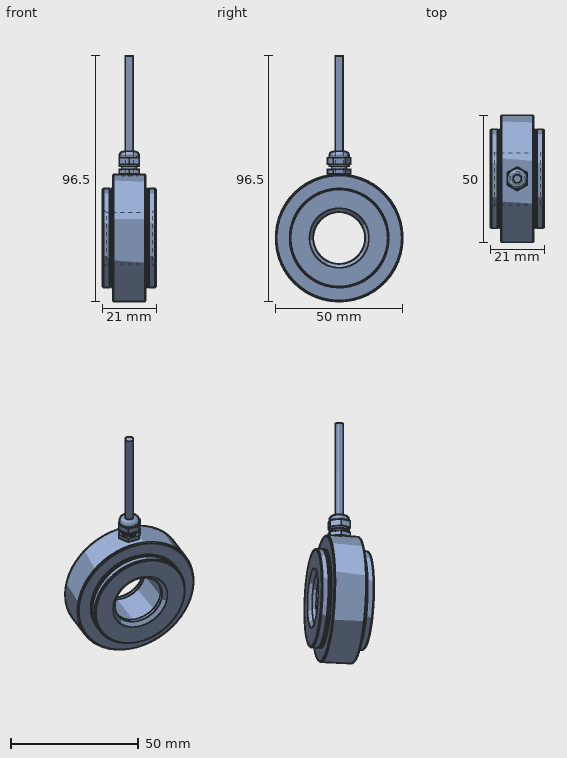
import cadquery as cq
import math

overall_width = 21.0
housing_dia = 50.0
housing_width = 13.0
washer_dia = 39.0
washer_width = 3.1
bore_dia = 20.3
edge_chamfer = 0.5
bore_chamfer = 1.5

hub_width = overall_width - 2 * washer_width
housing_radius = housing_dia / 2

cable_dia = 3.2
neck_dia = 6.0
gland_dia = 7.8
hex_across_flats = 8.0
overall_height = 96.5
neck_embed = 0.5
base_hex_lift = 0.2
base_hex_height = 1.7
neck_gap = 1.2
cap_skirt_height = 0.9
cap_hex_height = 2.6
cap_collar_height = 0.7
dome_radius = 1.7

hex_corner_dia = hex_across_flats / math.cos(math.pi / 6)
cable_top = overall_height - housing_radius
neck_bottom = housing_radius - neck_embed
base_hex_bottom = housing_radius + base_hex_lift
base_hex_top = base_hex_bottom + base_hex_height
cap_bottom = base_hex_top + neck_gap
cap_hex_bottom = cap_bottom + cap_skirt_height
cap_hex_top = cap_hex_bottom + cap_hex_height
cap_top = cap_hex_top + cap_collar_height + dome_radius


def disc_x(diameter, width):
    """Cylinder centred on the origin along X."""
    return cq.Workplane("YZ").workplane(offset=-width / 2).circle(diameter / 2).extrude(width)


def rod_z(diameter, bottom, top):
    """Vertical cylinder between two heights."""
    return cq.Workplane("XY").workplane(offset=bottom).circle(diameter / 2).extrude(top - bottom)


def hexagon_z(bottom, height):
    """Vertical hexagonal prism with two flats facing +X and -X."""
    return (
        cq.Workplane("XY").workplane(offset=bottom)
        .transformed(rotate=(0, 0, 90))
        .polygon(6, hex_corner_dia)
        .extrude(height)
    )


def make_housing():
    """Wide ring with a hub on each side and a recess for the gland neck."""
    rim = disc_x(housing_dia, housing_width).faces("<X or >X").chamfer(edge_chamfer)
    hub = disc_x(washer_dia, hub_width).faces("<X or >X").chamfer(edge_chamfer)
    bore = disc_x(bore_dia, hub_width)
    recess = rod_z(neck_dia, neck_bottom, housing_radius)
    return rim.union(hub).cut(bore).cut(recess)


def make_washer(side):
    """Washer against one hub face; side is -1 or 1 along X."""
    washer = disc_x(washer_dia, washer_width).faces("<X or >X").chamfer(edge_chamfer)
    washer = washer.cut(disc_x(bore_dia, washer_width))
    outer_face = "<X" if side < 0 else ">X"
    washer = (
        washer.faces(outer_face)
        .edges(cq.selectors.RadiusNthSelector(0))
        .chamfer(bore_chamfer)
    )
    return washer.translate((side * (hub_width + washer_width) / 2, 0, 0))


def make_gland():
    """Neck, base hexagon and domed hexagonal cap with a cable passage."""
    neck = rod_z(neck_dia, neck_bottom, cap_bottom)
    cap = rod_z(gland_dia, cap_bottom, cap_top).faces(">Z").edges().fillet(dome_radius)
    base_hexagon = hexagon_z(base_hex_bottom, base_hex_height)
    cap_hexagon = hexagon_z(cap_hex_bottom, cap_hex_height)
    passage = rod_z(cable_dia, neck_bottom, cap_top)
    return neck.union(cap).union(base_hexagon).union(cap_hexagon).cut(passage)


housing = make_housing()
washers = [make_washer(side) for side in (-1, 1)]
gland = make_gland()
cable = rod_z(cable_dia, neck_bottom, cable_top)

result = cq.Compound.makeCompound([
    housing.val(),
    *[washer.val() for washer in washers],
    gland.val(),
    cable.val(),
])